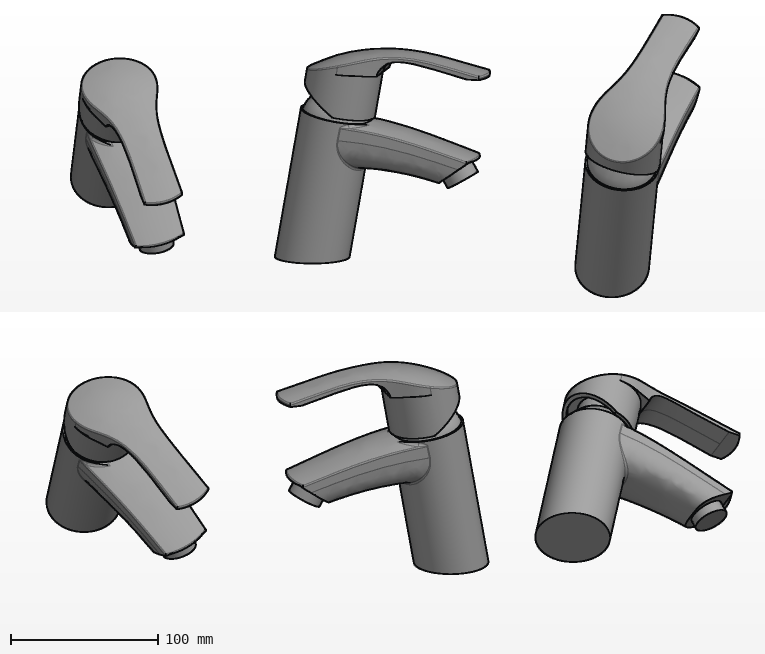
import cadquery as cq
import math

lean = 10.0
rim_fillet = 1.0
body_diameter = 50.3
body_length = 101.2
cavity_diameter = 45.8
dome_base_radius = 23.8
dome_shoulder = (20.8, 7.2)
dome_crest = (16.0, 12.9)
dome_overlap = 1.5
hub_diameter = 51.4
hub_gap = 2.8
hub_height = 59.9
cavity_depth = 19.5
cut_heel = (21.1, 122.8)
cut_toe = (45.8, 102.4)

spout_stations = [
    (44.9, 98.8, 23.8, 64.4),
    (65.9, 96.3, 22.8, 64.7),
    (87.7, 91.5, 21.0, 62.7),
    (110.8, 84.7, 19.2, 58.1),
    (143.7, 74.1, 17.2, 49.4),
]
spout_crown_radius = 89.8
spout_side_share = 0.3
spout_top_point = (92.8, 0, 89.8)
spout_root_fillet = 2.2
root_zone_low = (45.7, -24.5, 59.9)
root_zone_high = (62.9, 24.5, 93.6)
spout_tip_x = 142.0
spout_corner_x = 138.0
spout_corner_half_width = 18.0
spout_lip = (139.2, 73.2)
spout_heel = (115.9, 56.5)

aerator_diameter = 23.7
aerator_tilt = 30.0
aerator_face = (131.3, 58.2)
aerator_length = 10.5

lever_stations = [
    (15.0, 128.0),
    (22.8, 131.6),
    (45.8, 140.7),
    (71.9, 145.0),
    (89.8, 145.0),
    (110.5, 142.2),
    (129.5, 137.9),
    (151.2, 133.0),
]
lever_underside = [
    (75.2, 130.3),
    (77.7, 135.3),
    (83.5, 139.5),
    (92.0, 140.5),
    (110.8, 137.1),
    (124.3, 133.8),
    (137.7, 130.5),
]
lever_top_point = (80.8, 0, 145.2)
lever_crown_radius = 89.8
lever_flank = [(22.3, 19.3), (34.1, 15.5), (47.6, 13.8), (95.8, 13.6)]
lever_tip_reach = 99.3
lever_wing_height = 134.7
blank_half_width = 30.0
blank_floor = 82.3
blank_top = 164.7

lean_angle = math.radians(lean)
base_x = body_diameter / 2 / math.cos(lean_angle)


def axis_plane(distance):
    """Plane square to the body axis, at a distance along it from the base centre."""
    along = (math.sin(lean_angle), 0, math.cos(lean_angle))
    origin = (base_x + distance * along[0], 0, distance * along[2])
    return cq.Plane(origin=origin, xDir=(along[2], 0, -along[0]), normal=along)


def axis_cylinder(diameter, start, length):
    return cq.Workplane(axis_plane(start)).circle(diameter / 2).extrude(length)


def slab(outline):
    """Extrude a closed XZ outline well past both sides of the part."""
    return outline.extrude(blank_half_width, both=True)


def crown_drop(half_width, radius):
    return radius - math.sqrt(radius**2 - half_width**2)


def loft_sections(wires):
    return cq.Workplane(cq.Solid.makeLoft(wires))


def make_body():
    sunk = body_diameter
    body = axis_cylinder(body_diameter, -sunk, body_length + sunk)
    below_base = cq.Workplane("XY").box(4 * sunk, 4 * sunk, 4 * sunk).translate((0, 0, -2 * sunk))
    return body.cut(below_base)


def spout_section(x, top, half_width, bottom):
    """Crowned top, upright sides and a round belly."""
    edge = top - crown_drop(half_width, spout_crown_radius)
    belly = edge - spout_side_share * (edge - bottom)
    section = (
        cq.Workplane("YZ", origin=(x, 0, 0))
        .moveTo(-half_width, edge)
        .threePointArc((0, top), (half_width, edge))
        .lineTo(half_width, belly)
        .spline([(0, bottom), (-half_width, belly)], tangents=[(0, -1), (0, 1)], includeCurrent=True)
        .close()
    )
    return section.val()


def make_spout():
    spout = loft_sections([spout_section(*station) for station in spout_stations])
    start_x = spout_stations[0][0]
    corner_y = spout_corner_half_width
    plan = (
        cq.Workplane("XY")
        .moveTo(start_x, -blank_half_width)
        .lineTo(spout_corner_x, -blank_half_width)
        .lineTo(spout_corner_x, -corner_y)
        .threePointArc((spout_tip_x, 0), (spout_corner_x, corner_y))
        .lineTo(spout_corner_x, blank_half_width)
        .lineTo(start_x, blank_half_width)
        .close()
        .extrude(blank_top)
    )
    below_mouth = slab(
        cq.Workplane("XZ").polyline([spout_heel, spout_lip, (blank_top, spout_lip[1]), (blank_top, 0),
                                     (spout_heel[0], 0)]).close()
    )
    spout = spout.intersect(plan).cut(below_mouth)
    top_face = cq.selectors.NearestToPointSelector(spout_top_point)
    return spout.faces(top_face).edges("not <X").fillet(rim_fillet)


def make_aerator():
    tilt = math.radians(aerator_tilt)
    plane = cq.Plane(
        origin=(aerator_face[0], 0, aerator_face[1]),
        xDir=(math.cos(tilt), 0, math.sin(tilt)),
        normal=(-math.sin(tilt), 0, math.cos(tilt)),
    )
    return cq.Workplane(plane).circle(aerator_diameter / 2).extrude(aerator_length)


def make_dome():
    """Domed cap turned about the body axis, with a neck rising into the lever cavity."""
    neck_top = hub_gap + cavity_depth + dome_overlap
    profile_plane = axis_plane(body_length).rotated((90, 0, 0))
    return (
        cq.Workplane(profile_plane)
        .moveTo(0, -dome_overlap)
        .lineTo(dome_base_radius, -dome_overlap)
        .lineTo(dome_base_radius, 0)
        .threePointArc(dome_shoulder, dome_crest)
        .lineTo(dome_crest[0], neck_top)
        .lineTo(0, neck_top)
        .close()
        .revolve(360, (0, 0), (0, 1))
    )


def lever_section(x, top):
    edge = top - crown_drop(blank_half_width, lever_crown_radius)
    section = (
        cq.Workplane("YZ", origin=(x, 0, 0))
        .moveTo(-blank_half_width, edge)
        .threePointArc((0, top), (blank_half_width, edge))
        .lineTo(blank_half_width, blank_floor)
        .lineTo(-blank_half_width, blank_floor)
        .close()
    )
    return section.val()


def make_arm():
    hub_radius = hub_diameter / 2
    tip = lever_flank[-1]
    mirrored = [(reach, -side) for reach, side in reversed(lever_flank)]
    plan = (
        cq.Workplane(axis_plane(body_length + hub_gap))
        .moveTo(0, -hub_radius)
        .threePointArc((-hub_radius, 0), (0, hub_radius))
        .spline(lever_flank, tangents=[(1, 0), (1, 0)], includeCurrent=True)
        .threePointArc((lever_tip_reach, 0), (tip[0], -tip[1]))
        .spline(mirrored[1:] + [(0, -hub_radius)], tangents=[(-1, 0), (-1, 0)], includeCurrent=True)
        .close()
        .extrude(hub_height)
    )
    side = slab(
        cq.Workplane("XZ")
        .moveTo(0, lever_wing_height)
        .lineTo(*lever_underside[0])
        .spline(lever_underside[1:], includeCurrent=True)
        .lineTo(blank_top, lever_underside[-1][1])
        .lineTo(blank_top, blank_top)
        .lineTo(0, blank_top)
        .close()
    )
    return plan.intersect(side)


def make_lever():
    underside = body_length + hub_gap
    hub = axis_cylinder(hub_diameter, underside, hub_height)
    crown = loft_sections([lever_section(*station) for station in lever_stations])
    lever = hub.union(make_arm()).intersect(crown)
    top_face = cq.selectors.NearestToPointSelector(lever_top_point)
    lever = lever.faces(top_face).edges().fillet(rim_fillet)
    heel_cut = slab(
        cq.Workplane("XZ").polyline([
            (2 * cut_heel[0] - cut_toe[0], 2 * cut_heel[1] - cut_toe[1]),
            cut_toe,
            (cut_toe[0], blank_floor),
            (0, blank_floor),
        ]).close()
    )
    cavity = axis_cylinder(cavity_diameter, underside, cavity_depth)
    return lever.cut(heel_cut).cut(cavity)


def make_shell():
    """Body and spout blended together."""
    root_zone = cq.selectors.BoxSelector(root_zone_low, root_zone_high)
    return make_body().union(make_spout()).edges(root_zone).fillet(spout_root_fillet)


result = make_shell().union(make_aerator()).union(make_dome()).union(make_lever())